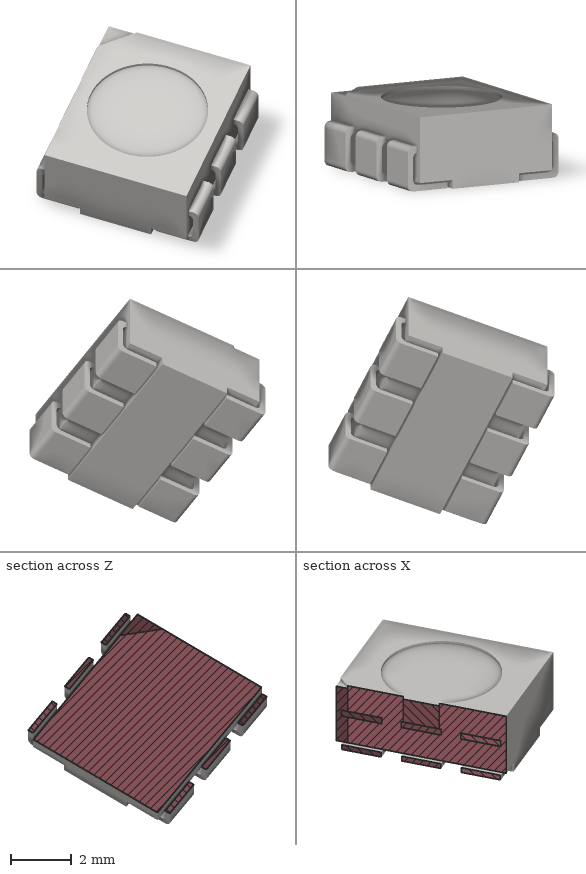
import cadquery as cq

housing_width = 5.0
housing_length = 6.0
overall_height = 2.5
pedestal_width = 2.5
pedestal_height = 0.3

lens_diameter = 4.0
lens_recess = 0.1

marker_leg = 1.0
marker_recess = lens_recess

lead_count = 3
lead_pitch = 2.1
lead_width = 1.4
lead_span = 5.7
lead_height = 1.5
lead_thickness = 0.2
lead_bend_radius = 0.2
foot_length = 1.5

lens_height = overall_height - lens_recess - lead_height


def make_housing_block():
    """Rectangular block standing on a narrower pedestal, before the other bodies are cut out."""
    block_height = overall_height - pedestal_height
    block = (
        cq.Workplane("XY")
        .box(housing_width, housing_length, block_height, centered=(True, True, False))
        .translate((0, 0, pedestal_height))
    )
    pedestal = cq.Workplane("XY").box(
        pedestal_width, housing_length, pedestal_height, centered=(True, True, False)
    )
    return block.union(pedestal)


def make_lens(height):
    """Round disc whose underside lies on the top of the leads."""
    return cq.Workplane("XY", origin=(0, 0, lead_height)).circle(lens_diameter / 2).extrude(height)


def make_marker(recess):
    """Triangular prism at the -X, +Y corner, as deep as the housing block."""
    corner_x = -housing_width / 2
    corner_y = housing_length / 2
    return (
        cq.Workplane("XY", origin=(0, 0, pedestal_height))
        .moveTo(corner_x, corner_y)
        .lineTo(corner_x + marker_leg, corner_y)
        .lineTo(corner_x, corner_y - marker_leg)
        .close()
        .extrude(overall_height - recess - pedestal_height)
    )


def make_lead(center_y):
    """Flat strip through the housing, bent down at both sides and then inward under it."""
    outer_x = lead_span / 2
    inner_x = outer_x - lead_thickness
    foot_end_x = outer_x - foot_length
    strip_bottom = lead_height - lead_thickness

    outer = (
        cq.Workplane("XY")
        .box(lead_span, lead_width, lead_height, centered=(True, True, False))
        .edges("|Y").fillet(lead_bend_radius)
    )
    inner = (
        cq.Workplane("XY")
        .box(2 * inner_x, lead_width, strip_bottom - lead_thickness, centered=(True, True, False))
        .edges("|Y").fillet(lead_bend_radius)
        .translate((0, 0, lead_thickness))
    )
    foot_gap = cq.Workplane("XY").box(
        2 * foot_end_x, lead_width, lead_thickness, centered=(True, True, False)
    )
    return outer.cut(inner).cut(foot_gap).translate((0, center_y, 0))


leads = []
for index in range(lead_count):
    lead_y = (index - (lead_count - 1) / 2) * lead_pitch
    leads.append(make_lead(lead_y))

lens = make_lens(lens_height)
marker = make_marker(marker_recess)

housing = make_housing_block()
housing = housing.cut(make_lens(lens_height + lens_recess))
housing = housing.cut(make_marker(0))

for lead in leads:
    housing = housing.cut(lead)
    marker = marker.cut(lead)

result = cq.Compound.makeCompound(
    [
        housing.solids().val(),
        lens.val(),
        marker.solids().val(),
        *[lead.solids().val() for lead in leads],
    ]
)